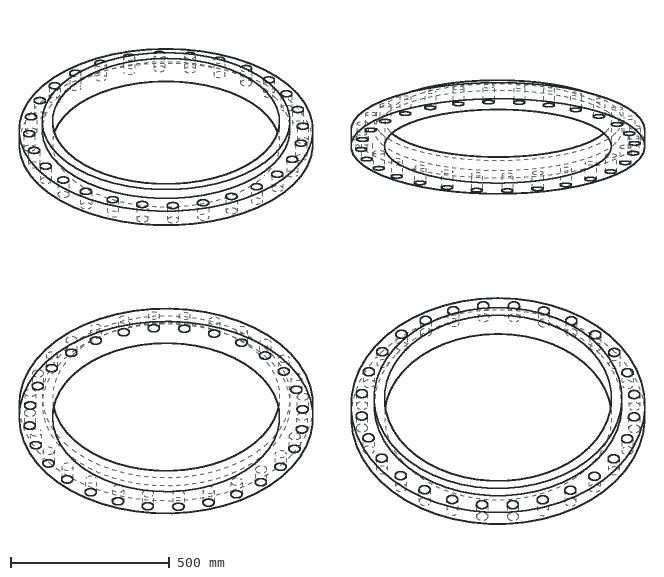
import cadquery as cq

flange_diameter = 927.0
flange_thickness = 54.0
total_height = 87.0
hub_diameter = 781.0
bore_diameter = 715.5

bolt_count = 28
bolt_circle_diameter = 864.0
bolt_hole_diameter = 35.0

flange = cq.Workplane("XY").circle(flange_diameter / 2).extrude(flange_thickness)

hub = cq.Workplane("XY").circle(hub_diameter / 2).extrude(total_height)

bore = cq.Workplane("XY").circle(bore_diameter / 2).extrude(total_height)

bolt_holes = (
    cq.Workplane("XY")
    .polarArray(bolt_circle_diameter / 2, 0, 360, bolt_count)
    .circle(bolt_hole_diameter / 2)
    .extrude(flange_thickness)
)

result = flange.union(hub).cut(bore).cut(bolt_holes)